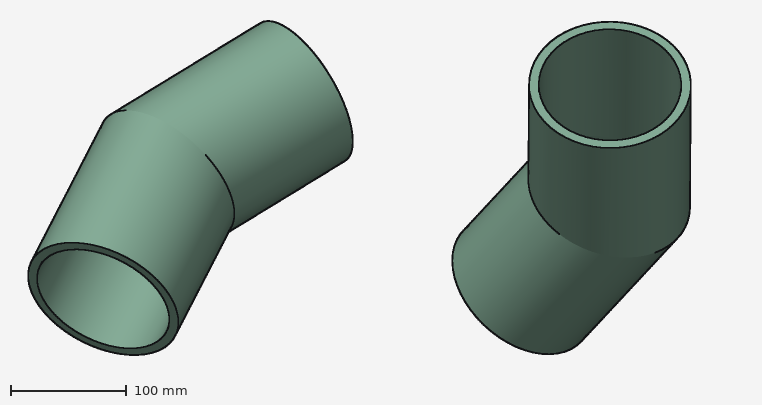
import cadquery as cq
import math

outer_diameter = 140.0
wall = 8.5
leg_length = 149.0
bend_angle = 30.0

bend = math.radians(bend_angle)
joint = (0, leg_length)
far_end = (leg_length * math.sin(bend), leg_length * (1 + math.cos(bend)))


def mitred_bar(diameter):
    """Solid round bar following the elbow axis, with a sharp mitre at the joint."""
    axis = cq.Workplane("XY").polyline([(0, 0), joint, far_end])
    return cq.Workplane("XZ").circle(diameter / 2).sweep(axis, transition="right")


bore_diameter = outer_diameter - 2 * wall
result = mitred_bar(outer_diameter).cut(mitred_bar(bore_diameter))